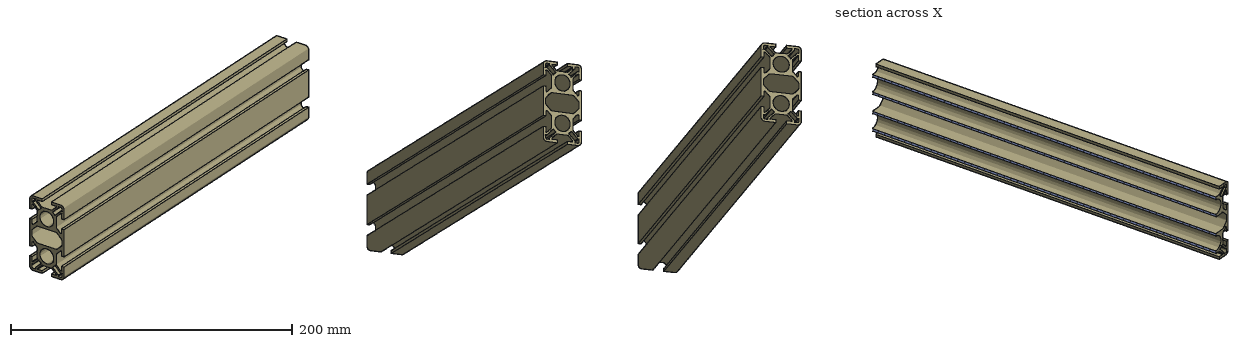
import cadquery as cq
import math

WIDTH = 30.0
HEIGHT = 60.0
LENGTH = 300.0
CELL = WIDTH
CELL_CENTRE = (HEIGHT - CELL) / 2
CORNER_RADIUS = 3.0

SLOT_OPENING = 8.1
LIP_THICKNESS = 2.2
SLOT_INNER_WIDTH = 16.0
CORE_WIDTH = 16.8
CORE_FLAT = 8.8
CORE_FILLET = 1.5
MIDDLE_FILLET = 0.75

BORE_DIAMETER = 12.0
CENTRE_HOLLOW_HEIGHT = 13.6
CENTRE_HOLLOW_CHAMFER = 4.5
CENTRE_HOLLOW_FILLET = 2.0
WALL = 1.85
RIB_THICKNESS = 1.4
RIB_ROOT = 2.0
CAVITY_FLOOR = 6.15


def extrude_along_y(sketch):
    """Extrude an XZ outline over the full length, centred on the origin."""
    return sketch.extrude(LENGTH).translate((0, LENGTH / 2, 0))


def body():
    """Solid bar with rounded long edges."""
    block = extrude_along_y(cq.Workplane("XZ").rect(WIDTH, HEIGHT))
    return block.edges("|Y").fillet(CORNER_RADIUS)


def t_slot():
    """T-slot cutter of a cell centred on the origin, opening toward +X."""
    face = CELL / 2
    lip_back = face - LIP_THICKNESS
    core = CORE_WIDTH / 2
    half_opening = SLOT_OPENING / 2
    half_inner = SLOT_INNER_WIDTH / 2
    half_flat = CORE_FLAT / 2
    slope_end = core + half_inner - half_flat
    upper_side = [
        (core, half_flat),
        (slope_end, half_inner),
        (lip_back, half_inner),
        (lip_back, half_opening),
        (face, half_opening),
    ]
    lower_side = [(x, -z) for x, z in reversed(upper_side)]
    cutter = extrude_along_y(cq.Workplane("XZ").polyline(upper_side + lower_side).close())
    return cutter.faces("<X").edges("|Y").fillet(CORE_FILLET)


def side_slot():
    """Slot on the +X side of the upper cell, rounded where it meets the middle flange."""
    flange_corner = (CELL / 2 - LIP_THICKNESS, 0, -SLOT_INNER_WIDTH / 2)
    nearest_edge = cq.selectors.NearestToPointSelector(flange_corner)
    slot = t_slot().edges("|Y").edges(nearest_edge).fillet(MIDDLE_FILLET)
    return slot.translate((0, 0, CELL_CENTRE))


def end_slot():
    """Slot on the +Z end of the upper cell."""
    return t_slot().rotate((0, 0, 0), (0, 1, 0), -90).translate((0, 0, CELL_CENTRE))


def corner_cavity():
    """Diagonal hollow between the two ribs of the +X +Z corner."""
    outer = CELL / 2 - WALL
    shoulder = SLOT_INNER_WIDTH / 2 + RIB_ROOT
    slope_offset = (CORE_WIDTH - CORE_FLAT) / 2
    half_channel = slope_offset - RIB_THICKNESS * math.sqrt(2)
    half_floor = half_channel / 2
    points = [
        (CAVITY_FLOOR + half_floor, CAVITY_FLOOR - half_floor),
        (shoulder + half_channel, shoulder),
        (outer, shoulder),
        (outer, outer),
        (shoulder, outer),
        (shoulder, shoulder + half_channel),
        (CAVITY_FLOOR - half_floor, CAVITY_FLOOR + half_floor),
    ]
    cutter = extrude_along_y(cq.Workplane("XZ").polyline(points).close())
    inner_radius = CORNER_RADIUS - WALL
    cutter = cutter.edges("|Y").edges(">(1, 0, 1)").fillet(inner_radius)
    return cutter.translate((0, 0, CELL_CENTRE))


def centre_hollow():
    """Eight-sided hollow with softened corners between the two bores."""
    hollow = extrude_along_y(cq.Workplane("XZ").rect(WIDTH - 2 * WALL, CENTRE_HOLLOW_HEIGHT))
    hollow = hollow.edges("|Y").chamfer(CENTRE_HOLLOW_CHAMFER)
    return hollow.edges("|Y").fillet(CENTRE_HOLLOW_FILLET)


def bores():
    """Round bore through the centre of each cell."""
    sketch = cq.Workplane("XZ").pushPoints([(0, CELL_CENTRE), (0, -CELL_CENTRE)])
    return extrude_along_y(sketch.circle(BORE_DIAMETER / 2))


result = body().cut(centre_hollow()).cut(bores())

upper_slot = end_slot()
result = result.cut(upper_slot).cut(upper_slot.mirror("XY"))

for right_cutter in (side_slot(), corner_cavity()):
    for cutter in (right_cutter, right_cutter.mirror("YZ")):
        result = result.cut(cutter).cut(cutter.mirror("XY"))